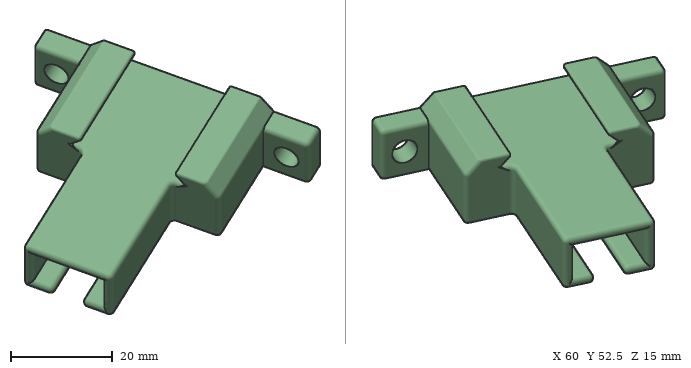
import cadquery as cq

ear_span = 60.0
ear_depth = 5.0
base_height = 12.0
body_width = 40.0
body_length = 25.0
stem_width = 19.3
total_length = 52.5
edge_round = 1.0

rail_height = 3.0
rail_tip_x = 9.4
rail_round = 0.6

hole_diameter = 5.3
hole_spacing = 50.05

lip_flat = 0.01
wall = 2 * edge_round + lip_flat
rear_opening_bottom = 2.7
rear_opening_height = 6.4
slot_width = 6.35

half_body = body_width / 2
rail_root_x = rail_tip_x + rail_height
core_width = rail_root_x + half_body
channel_width = stem_width - 2 * wall
tolerance = 0.005


def block(width, y_front, y_back, z_bottom, height):
    """Box centred on X between two Y planes."""
    box = cq.Workplane("XY").box(width, y_back - y_front, height, centered=(True, False, False))
    return box.translate((0, y_front, z_bottom))


def edges_where(solid, condition):
    """Edges whose bounding box meets the condition."""
    edges = solid.edges().vals()
    return solid.newObject([edge for edge in edges if condition(edge.BoundingBox())])


def make_ears():
    """Full-width mounting bar, rounded everywhere except on the mounting face."""
    bar = block(ear_span, -ear_depth, 0, 0, base_height)
    return bar.edges("not >Y").fillet(edge_round)


def make_core():
    """Middle of the body and the hollow, slotted stem."""
    core = block(core_width, -body_length, 0, 0, base_height)
    core = core.union(block(stem_width, -total_length, 0, 0, base_height))
    channel = block(channel_width, -total_length, -body_length, wall, base_height - 2 * wall)
    slot = block(slot_width, -total_length, -body_length, 0, wall)
    core = core.cut(channel).cut(slot)

    def is_exposed(box):
        on_back = box.ymin > -tolerance
        on_front = box.ymax < -total_length + tolerance
        on_bottom = box.zmax < tolerance
        on_top = box.zmin > base_height - tolerance
        full_height = box.zlen > base_height - tolerance
        slot_lip = abs(box.zmax - wall) < tolerance and max(abs(box.xmin), abs(box.xmax)) < slot_width
        slot_lip = slot_lip and box.ylen > body_length
        return not on_back and (on_front or on_bottom or on_top or full_height or slot_lip)

    return edges_where(core, is_exposed).fillet(edge_round)


def make_side_column():
    """+X side of the body, rising into a rail with an undercut inner flank."""
    rail_top = base_height + rail_height
    inner_x = stem_width / 2 + edge_round
    profile = [
        (inner_x, 0),
        (half_body, 0),
        (half_body, base_height),
        (half_body - rail_height, rail_top),
        (rail_tip_x, rail_top),
        (rail_root_x, base_height),
        (inner_x, base_height - edge_round),
    ]
    column = cq.Workplane("XZ").polyline(profile).close().extrude(body_length)

    def is_outer_edge(box):
        on_back = box.ymin > -tolerance
        on_outer_side = box.xmin > half_body - tolerance
        front_bottom = box.zmax < tolerance and box.xlen > tolerance
        on_front = box.ymax < -body_length + tolerance
        front_slope = on_front and box.xmin > rail_root_x and box.zmin > base_height - tolerance
        front_slope = front_slope and box.zmin < rail_top - tolerance
        return not on_back and (on_outer_side or front_bottom or front_slope)

    def is_rail_edge(box):
        on_back = box.ymin > -tolerance
        return not on_back and box.zmax > rail_top - rail_round

    column = edges_where(column, is_outer_edge).fillet(edge_round)
    return edges_where(column, is_rail_edge).fillet(rail_round)


def make_holes():
    """Cutters for the two mounting holes through the ears."""
    return (
        cq.Workplane("XZ")
        .pushPoints([(-hole_spacing / 2, base_height / 2), (hole_spacing / 2, base_height / 2)])
        .circle(hole_diameter / 2)
        .extrude(ear_depth)
    )


ears = make_ears()
core = make_core()
side_column = make_side_column()
body = core.union(side_column).union(side_column.mirror("YZ"))
rear_opening = block(channel_width, -body_length, 0, rear_opening_bottom, rear_opening_height)
result = body.union(ears).cut(rear_opening).cut(make_holes())